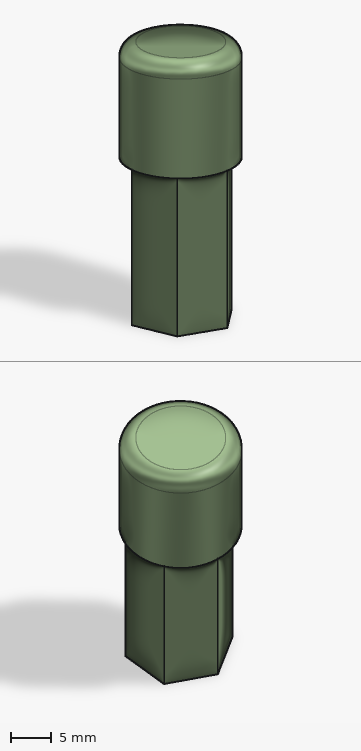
import cadquery as cq

total_height = 36.0
head_diameter = 15.0
head_height = head_diameter
head_edge_radius = 2.0

shank_corner_diameter = 13.55
shank_turn = 12.2
shank_offset_y = 0.2
shank_sides = 6
shank_length = total_height - head_height

shank = (
    cq.Workplane("XY")
    .polygon(shank_sides, shank_corner_diameter)
    .extrude(shank_length)
    .rotate((0, 0, 0), (0, 0, 1), shank_turn)
    .translate((0, shank_offset_y, 0))
)

head = (
    cq.Workplane("XY")
    .workplane(offset=shank_length)
    .circle(head_diameter / 2)
    .extrude(head_height)
    .faces(">Z")
    .edges()
    .fillet(head_edge_radius)
)

result = shank.union(head)